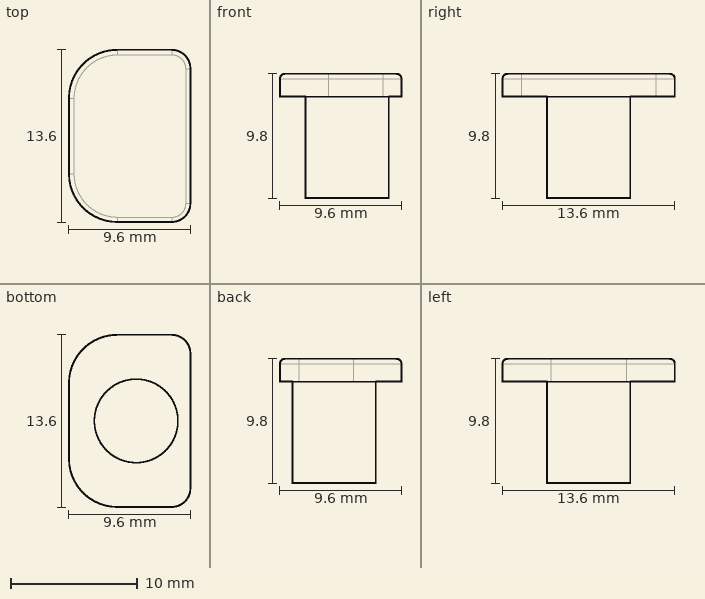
import cadquery as cq

head_width = 9.6
head_length = 13.6
head_thickness = 1.8
large_corner_radius = 3.82
small_corner_radius = 1.5
top_edge_radius = 0.4

total_height = 9.8
stem_diameter = 6.6
stem_inset = 2.01
stem_length = total_height - head_thickness
stem_center_x = -head_width / 2 + stem_inset + stem_diameter / 2


def make_head():
    """Plate with large corners on -X, small corners on +X and a rounded top edge."""
    plate = cq.Workplane("XY").box(
        head_width, head_length, head_thickness, centered=(True, True, False)
    )
    plate = plate.edges("|Z and <X").fillet(large_corner_radius)
    plate = plate.edges("|Z and >X").fillet(small_corner_radius)
    return plate.faces(">Z").edges().fillet(top_edge_radius)


def make_stem():
    """Plain cylinder hanging from the underside of the head."""
    return (
        cq.Workplane("XY")
        .center(stem_center_x, 0)
        .circle(stem_diameter / 2)
        .extrude(-stem_length)
    )


result = make_head().union(make_stem())